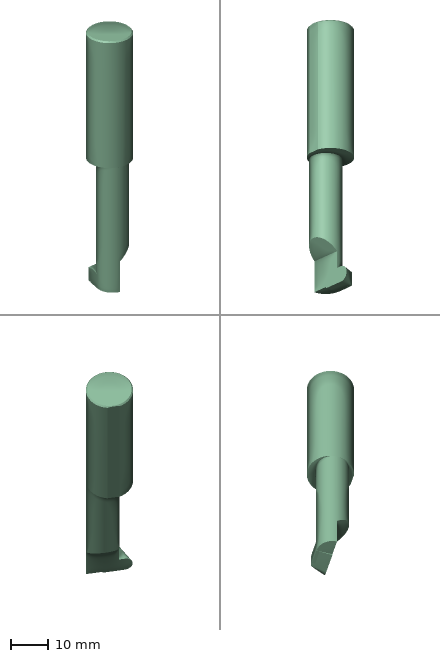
import cadquery as cq

length = 76.1
shank_radius = 6.355
shank_bottom = length / 2
shank_chamfer = 0.4
flat_depth = 0.2

neck_radius = 4.5
neck_x = shank_radius - neck_radius
neck_bottom = 0.4
ramp_bottom = 9.5
ramp_top = 13.55

front_y = -neck_radius
block_left = -2.4
block_top = 4.7
block_bottom = 0.3
tip_x = -shank_radius
tip_top = 4.6
tip_flat = 0.1
heel_x = -3.6
heel_bottom = 0.4
heel_top = 4.4
heel_flat = heel_top - heel_bottom - 0.1


def make_shank():
    """Round shank with a chamfered top and a shallow clamping flat along its +Y side."""
    shank = cq.Workplane("XY", origin=(0, 0, shank_bottom)).circle(shank_radius)
    shank = shank.extrude(length - shank_bottom).faces(">Z").chamfer(shank_chamfer)
    flat = cq.Workplane("XY").box(2 * shank_radius, flat_depth, length, centered=(True, False, False))
    return shank.cut(flat.translate((0, shank_radius - flat_depth, 0)))


def make_neck():
    """Offset round bar whose +Y half ends in a ramp above the rake face."""
    neck = cq.Workplane("XY", origin=(neck_x, 0, neck_bottom)).circle(neck_radius)
    neck = neck.extrude(shank_bottom - neck_bottom)
    relief = (
        cq.Workplane("YZ", origin=(neck_x, 0, 0))
        .polyline([(0, 0), (0, ramp_bottom), (neck_radius, ramp_top), (neck_radius, 0)])
        .close()
        .extrude(neck_radius, both=True)
    )
    return neck.cut(relief)


def nose_outline(y, left, bottom, top, flat):
    """Outline in the XZ plane at y, with both left corners rounded beside a flat."""
    radius = (top - bottom - flat) / 2
    arc_offset = radius * (1 - 0.5 ** 0.5)
    return (
        cq.Workplane("XZ", origin=(0, y, 0))
        .moveTo(neck_x, bottom)
        .lineTo(left + radius, bottom)
        .threePointArc((left + arc_offset, bottom + arc_offset), (left, bottom + radius))
        .lineTo(left, top - radius)
        .threePointArc((left + arc_offset, top - arc_offset), (left + radius, top))
        .lineTo(neck_x, top)
        .close()
        .val()
    )


def make_head():
    """Block carrying a nose that narrows from a square heel to a round cutting edge."""
    cutting_edge = nose_outline(0, tip_x, 0, tip_top, tip_flat)
    heel = nose_outline(front_y, heel_x, heel_bottom, heel_top, heel_flat)
    nose = cq.Workplane(cq.Solid.makeLoft([cutting_edge, heel], True))
    block = cq.Workplane("XY").box(
        neck_x - block_left, neck_radius, block_top - block_bottom, centered=False
    )
    return nose.union(block.translate((block_left, front_y, block_bottom)))


result = make_shank().union(make_neck()).union(make_head())